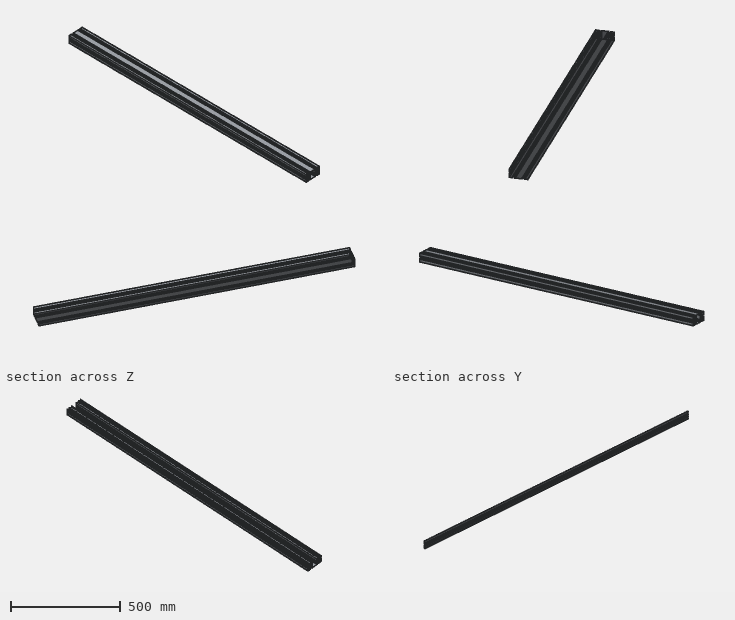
import cadquery as cq

length = 1500.0
height = 45.0
width = 2 * height
module_center = height / 2
corner_radius = 2.5

throat_width = 8.0
mouth_taper = 0.78
mouth_width = throat_width + 2 * mouth_taper
throat_depth = 3.0
neck_width = 9.0
neck_depth = 6.8
slot_width = 14.0
slot_shoulder_depth = 9.0
slot_depth = 14.0
slot_floor_width = 10.0

bore_diameter = 10.0
wall = 2.2
chamber_width = 27.8
pocket_reach = 14.0
pocket_step = 10.0


def prism(points):
    """Full-length prism from a closed outline in the YZ plane."""
    return cq.Workplane("YZ").polyline(points).close().extrude(length)


def t_slot():
    """T-slot cutter open toward +Z, for a module centered on the X axis."""
    half_widths_and_depths = [
        (mouth_width / 2, 0),
        (throat_width / 2, throat_depth),
        (neck_width / 2, throat_depth),
        (neck_width / 2, neck_depth),
        (slot_width / 2, neck_depth),
        (slot_width / 2, slot_shoulder_depth),
        (slot_floor_width / 2, slot_depth),
    ]
    right_side = [(half, module_center - depth) for half, depth in half_widths_and_depths]
    left_side = [(-y, z) for y, z in reversed(right_side)]
    return prism(right_side + left_side)


def corner_pocket():
    """L-shaped hollow behind the +Y +Z corner of a module centered on the X axis."""
    outer = module_center - wall
    inner = module_center - pocket_reach
    step = module_center - pocket_step
    return prism([
        (outer, outer),
        (inner, outer),
        (inner, step),
        (step, step),
        (step, inner),
        (outer, inner),
    ])


def turned(shape, angle):
    """Shape turned about the module axis."""
    return shape.rotate((0, 0, 0), (1, 0, 0), angle)


def module_cutters():
    """All cutters for the module on the +Y side."""
    bore = cq.Workplane("YZ").circle(bore_diameter / 2).extrude(length)
    slots = [turned(t_slot(), angle) for angle in (0, 180, -90)]
    pockets = [turned(corner_pocket(), angle) for angle in (0, -90)]
    return [cutter.translate((0, module_center, 0)) for cutter in [bore] + slots + pockets]


bar = cq.Workplane("YZ").rect(width, height).extrude(length)
bar = bar.edges("|X").fillet(corner_radius)

for cutter in module_cutters():
    bar = bar.cut(cutter)
    bar = bar.cut(cutter.mirror("XZ"))

chamber = cq.Workplane("YZ").rect(chamber_width, height - 2 * wall).extrude(length)
bar = bar.cut(chamber)

result = bar.translate((-length / 2, 0, 0))